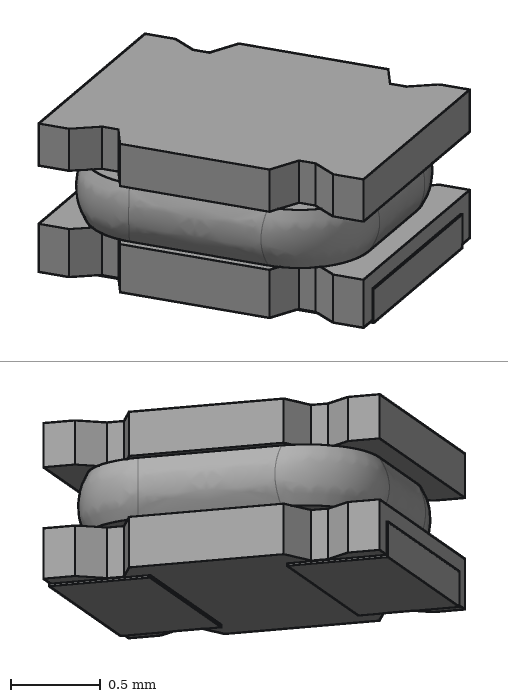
import cadquery as cq

length = 2.0
width = 1.608

terminal_wall_thickness = 0.008
terminal_foot_thickness = 0.015
terminal_width = 1.2
terminal_foot = 0.595
terminal_height = 0.205

lower_flange_height = 0.29
winding_height = 0.35
upper_flange_height = 0.255
flange_half_length = length / 2 - terminal_wall_thickness
flange_half_width = width / 2
flange_end_half_width = 0.72

notch_outer_x = 0.805
notch_floor_outer_x = 0.652
notch_floor_inner_x = 0.552
notch_inner_x = 0.455
notch_floor_y = 0.615

winding_half_length = 0.905
winding_half_width = width / 2
winding_bulge = 0.055
winding_corner_radius = 0.5
winding_edge_corner_radius = 0.425

lower_flange_z = terminal_foot_thickness
winding_z = lower_flange_z + lower_flange_height
upper_flange_z = winding_z + winding_height


def make_flange(bottom_z, height):
    """Flat plate with a notch at each corner, symmetric about X and Y."""
    quarter = [
        (flange_half_length, flange_end_half_width),
        (notch_outer_x, flange_end_half_width),
        (notch_floor_outer_x, notch_floor_y),
        (notch_floor_inner_x, notch_floor_y),
        (notch_inner_x, flange_half_width),
    ]
    back = quarter + [(-x, y) for x, y in reversed(quarter)]
    front = [(-x, -y) for x, y in back]
    return cq.Workplane("XY").workplane(offset=bottom_z).polyline(back + front).close().extrude(height)


def make_winding_section(z, inset, corner_radius):
    """Rounded rectangle at height z, inset from the widest outline."""
    return (
        cq.Sketch()
        .rect(2 * (winding_half_length - inset), 2 * (winding_half_width - inset))
        .vertices()
        .fillet(corner_radius)
        .moved(cq.Location(cq.Vector(0, 0, z)))
    )


def make_winding():
    """Smooth loft, widest at mid-height, so that all sides bulge outwards."""
    bottom = make_winding_section(winding_z, winding_bulge, winding_edge_corner_radius)
    middle = make_winding_section(winding_z + winding_height / 2, 0, winding_corner_radius)
    top = make_winding_section(upper_flange_z, winding_bulge, winding_edge_corner_radius)
    return cq.Workplane("XY").placeSketch(bottom, middle, top).loft()


def make_core():
    """Two flanges joined by the winding between them."""
    lower_flange = make_flange(lower_flange_z, lower_flange_height)
    upper_flange = make_flange(upper_flange_z, upper_flange_height)
    return lower_flange.union(make_winding()).union(upper_flange)


def make_terminal(side):
    """L-shaped terminal at the end given by side: -1 or +1 along X."""
    outer_x = side * length / 2
    wall_x = side * flange_half_length
    foot_x = side * (length / 2 - terminal_foot)
    outline = [
        (foot_x, 0),
        (outer_x, 0),
        (outer_x, terminal_height),
        (wall_x, terminal_height),
        (wall_x, terminal_foot_thickness),
        (foot_x, terminal_foot_thickness),
    ]
    return cq.Workplane("XZ").polyline(outline).close().extrude(terminal_width / 2, both=True)


core = make_core()
terminals = [make_terminal(side) for side in (-1, 1)]

result = cq.Compound.makeCompound([core.val(), *[terminal.val() for terminal in terminals]])